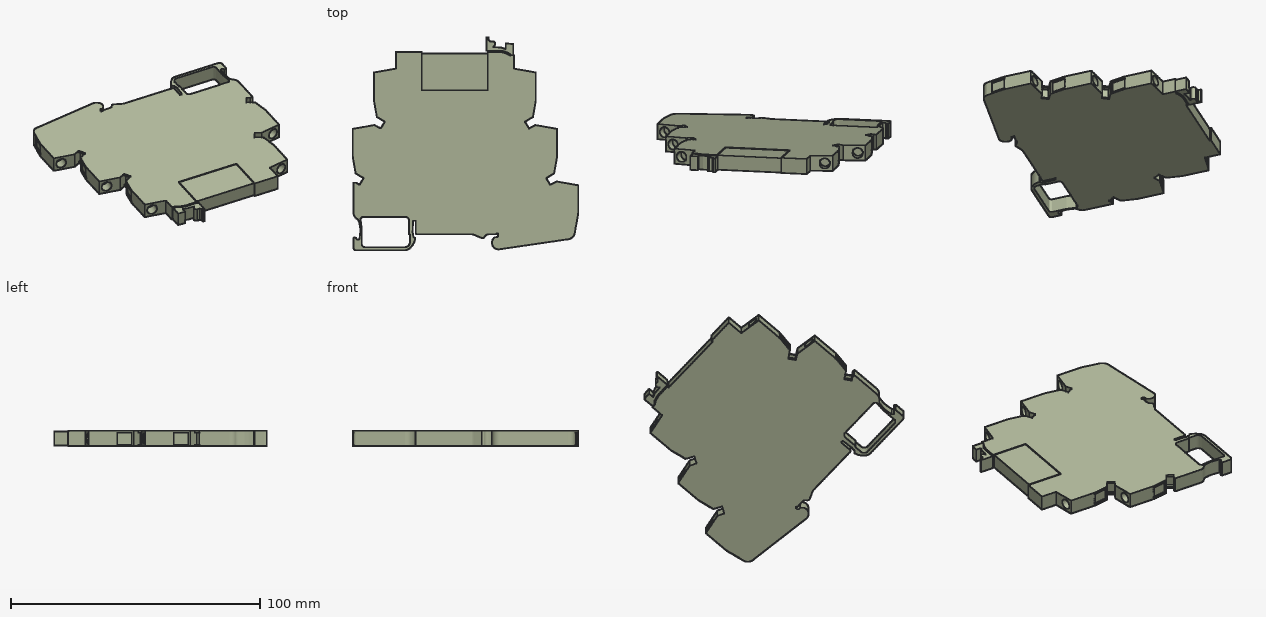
import cadquery as cq
import math


LENGTH = 90.5
THICKNESS = 6.2
SKIN = 0.3

TIER_STEP_X = 8.5
TIER_STEP_Y = 22.6
TIER_CORNER_Y = 26.15
DRAFT = math.tan(math.radians(10))
FLANK_TOP = 11.4
FLANK_END = 17.9
NOTCH_TOP = (4.3, 19.8)
NOTCH_BOTTOM = (2.7, 22.4)
TIER_PEAK = 8.7

RIGHT_SIDES = [LENGTH - TIER_STEP_X * i for i in range(3)]
LEFT_SIDES = [TIER_STEP_X * i for i in range(2)]
MID_X = (LEFT_SIDES[0] + RIGHT_SIDES[1]) / 2

NECK_HALF = 23.7
NECK_TOP = 79.6
SHOULDER_END = 78.2
RELAY_LEFT, RELAY_RIGHT = 27.8, 54.1
RELAY_BOTTOM, RELAY_TOP = 64.2, 79.0
CARRIER_TOP = 85.4

BASE_LEFT = 0.3
BASE_TOP = 27.15
UNDERSIDE = 6.4
CLIP_SLOT_RIGHT = 25.25
CLIP_SLOT_TOP = 11.85

WIRE_HOLE_DIAMETER = 4.2
WIRE_HOLE_INSET = 3.1
WIRE_HOLE_DEPTH = 4.5
POCKET_BOTTOM, POCKET_TOP = 0.6, 5.4
FLANK_POCKET_DEPTH = 0.5
FLANK_POCKET_LENGTH = 5.8
NOTCH_POCKET_DEPTH = 1.4


def tier_corner_y(level):
    return TIER_CORNER_Y + TIER_STEP_Y * level


def tier_point(side, inward, level, inset, drop):
    """Point given by its distance in from the tier side and down from the tier corner."""
    return (side + inward * inset, tier_corner_y(level) - drop)


def peak(side, inward, level):
    return tier_point(side, inward, level, TIER_PEAK, -TIER_PEAK * DRAFT)


def tier_edge(side, inward, level):
    """Tier outline from its outer top corner down to the bottom of the notch below it."""
    flank_run = (FLANK_END - FLANK_TOP) * DRAFT
    drops = [(0, 0), (0, FLANK_TOP), (flank_run, FLANK_END), NOTCH_TOP, NOTCH_BOTTOM]
    return [tier_point(side, inward, level, inset, drop) for inset, drop in drops]


def housing_outline():
    neck_left, neck_right = MID_X - NECK_HALF, MID_X + NECK_HALF
    neck_foot = tier_corner_y(2) + (neck_left - LEFT_SIDES[1]) * DRAFT
    bottom_flank_y = 6.8
    bottom_flank_x = LENGTH - (TIER_CORNER_Y - FLANK_TOP - bottom_flank_y) * DRAFT

    outline = cq.Workplane("XY").moveTo(BASE_LEFT, BASE_TOP).lineTo(1.45, BASE_TOP)
    for point in reversed(tier_edge(LEFT_SIDES[0], 1, 1)):
        outline = outline.lineTo(*point)
    outline = outline.lineTo(*peak(LEFT_SIDES[0], 1, 1))
    for point in reversed(tier_edge(LEFT_SIDES[1], 1, 2)):
        outline = outline.lineTo(*point)
    outline = (
        outline.lineTo(neck_left, neck_foot)
        .lineTo(neck_left, NECK_TOP)
        .lineTo(RELAY_LEFT, NECK_TOP)
        .lineTo(RELAY_LEFT, RELAY_TOP)
        .lineTo(RELAY_RIGHT, RELAY_TOP)
        .lineTo(RELAY_RIGHT, NECK_TOP)
        .lineTo(58.8, NECK_TOP)
        .threePointArc((61.2, 79.2), (63.2, SHOULDER_END))
        .lineTo(neck_right, SHOULDER_END)
        .lineTo(neck_right, neck_foot)
    )
    for level in (2, 1):
        side = RIGHT_SIDES[level]
        for point in tier_edge(side, -1, level):
            outline = outline.lineTo(*point)
        outline = outline.lineTo(*peak(RIGHT_SIDES[level - 1], -1, level - 1))
    return (
        outline.lineTo(LENGTH, TIER_CORNER_Y)
        .lineTo(LENGTH, TIER_CORNER_Y - FLANK_TOP)
        .lineTo(bottom_flank_x, bottom_flank_y)
        .threePointArc((88.05, 5.2), (85.9, 4.3))
        .lineTo(59.3, 0.45)
        .threePointArc((55.8, 2.7), (57.0, 5.3))
        .lineTo(57.6, 5.3)
        .threePointArc((58.1, 5.5), (58.3, 6.0))
        .lineTo(58.3, 6.7)
        .lineTo(57.7, 6.7)
        .lineTo(57.7, UNDERSIDE)
        .lineTo(54.7, UNDERSIDE)
        .threePointArc((53.6, 6.15), (52.85, 5.3))
        .threePointArc((52.4, 5.0), (51.85, 4.9))
        .lineTo(48.8, 6.15)
        .threePointArc((48.3, 6.3), (47.9, UNDERSIDE))
        .lineTo(CLIP_SLOT_RIGHT + 0.7, UNDERSIDE)
        .threePointArc((CLIP_SLOT_RIGHT + 0.2, UNDERSIDE + 0.2), (CLIP_SLOT_RIGHT, UNDERSIDE + 0.7))
        .lineTo(CLIP_SLOT_RIGHT, CLIP_SLOT_TOP)
        .lineTo(24.6, CLIP_SLOT_TOP)
        .threePointArc((24.3, 11.8), (24.25, 11.5))
        .lineTo(24.1, 7.2)
        .lineTo(24.4, 5.3)
        .lineTo(25.2, 4.9)
        .threePointArc((24.5, 2.9), (23.35, 1.3))
        .threePointArc((22.3, 0.4), (21.0, 0))
        .lineTo(BASE_LEFT + 1.1, 0)
        .threePointArc((BASE_LEFT + 0.32, 0.32), (BASE_LEFT, 1.1))
        .lineTo(BASE_LEFT, 4.9)
        .lineTo(0.6, 5.25)
        .lineTo(1.4, 5.1)
        .threePointArc((2.0, 4.3), (2.7, 4.8))
        .lineTo(3.0, 7.4)
        .lineTo(3.0, 9.0)
        .lineTo(2.5, 11.4)
        .threePointArc((2.2, 12.1), (1.6, 12.7))
        .threePointArc((0.6, 13.75), (BASE_LEFT, 15.1))
        .close()
    )


def clip_window():
    """Opening between the foot, the spring web and the clip leg."""
    top, bottom = 13.4, 1.4
    return (
        cq.Workplane("XY")
        .moveTo(4.25, top)
        .lineTo(21.2, top)
        .threePointArc((22.1, 13.0), (22.5, 12.1))
        .lineTo(22.5, UNDERSIDE)
        .lineTo(22.9, UNDERSIDE)
        .lineTo(22.9, 3.35)
        .threePointArc((22.35, 1.9), (20.9, bottom))
        .lineTo(4.8, bottom)
        .threePointArc((4.1, 1.6), (3.7, 2.35))
        .lineTo(3.7, 8.6)
        .lineTo(3.2, 12.5)
        .threePointArc((3.5, 13.1), (4.25, top))
        .close()
        .extrude(THICKNESS)
    )


def marker_carrier():
    """Latch-shaped holder standing on the right end of the shoulder, with a thin gap beneath it."""
    left, right = 53.7, 64.4
    foot = 77.8
    foot_left = 63.3
    underside = NECK_TOP + 0.4
    return (
        cq.Workplane("XY", origin=(0, 0, SKIN))
        .moveTo(left, CARRIER_TOP)
        .lineTo(54.5, CARRIER_TOP)
        .lineTo(54.6, 84.3)
        .lineTo(55.2, 83.8)
        .lineTo(56.3, 83.9)
        .threePointArc((57.2, 82.9), (56.5, 81.7))
        .lineTo(56.5, 81.5)
        .lineTo(59.45, 81.4)
        .lineTo(61.35, 80.8)
        .lineTo(61.35, 83.0)
        .lineTo(62.4, 83.0)
        .lineTo(right, 82.8)
        .lineTo(right, foot)
        .lineTo(foot_left, foot)
        .lineTo(foot_left, 78.5)
        .threePointArc((61.2, 79.6), (58.8, underside))
        .lineTo(left, underside)
        .close()
        .extrude(THICKNESS - 2 * SKIN)
    )


def relay_recess():
    """Shallow step that leaves the relay just below the upper face."""
    return (
        cq.Workplane("XY", origin=(0, 0, THICKNESS - SKIN))
        .moveTo(RELAY_LEFT, RELAY_BOTTOM)
        .lineTo(RELAY_RIGHT, RELAY_BOTTOM)
        .lineTo(RELAY_RIGHT, NECK_TOP)
        .lineTo(RELAY_LEFT, NECK_TOP)
        .close()
        .extrude(SKIN)
    )


def wire_hole(side, inward, level):
    """Round wire entry sunk at right angles into the sloping tier top."""
    x, y = tier_point(side, inward, level, WIRE_HOLE_INSET, -WIRE_HOLE_INSET * DRAFT)
    centre = cq.Vector(x, y, THICKNESS / 2)
    drill = cq.Vector(inward * DRAFT, -1, 0).normalized()
    start_clearance = 0.45
    return cq.Workplane(cq.Solid.makeCylinder(
        WIRE_HOLE_DIAMETER / 2, WIRE_HOLE_DEPTH + start_clearance, centre - drill * start_clearance, drill
    ))


def wall_pocket(start, end, inward, depth):
    """Rectangular pocket sunk at right angles into the wall from start down to end."""
    run_x, run_y = end[0] - start[0], end[1] - start[1]
    length = math.hypot(run_x, run_y)
    sink_x = -run_y / length * depth * inward
    sink_y = run_x / length * depth * inward
    return (
        cq.Workplane("XY", origin=(0, 0, POCKET_BOTTOM))
        .polyline([
            start,
            end,
            (end[0] + sink_x, end[1] + sink_y),
            (start[0] + sink_x, start[1] + sink_y),
        ])
        .close()
        .extrude(POCKET_TOP - POCKET_BOTTOM)
    )


def flank_pocket(side, inward, level):
    start = tier_point(side, inward, level, 0, FLANK_TOP)
    end = (start[0] + inward * FLANK_POCKET_LENGTH * DRAFT, start[1] - FLANK_POCKET_LENGTH)
    return wall_pocket(start, end, inward, FLANK_POCKET_DEPTH)


def notch_pocket(side, inward, level):
    start = tier_point(side, inward, level, *NOTCH_TOP)
    end = tier_point(side, inward, level, *NOTCH_BOTTOM)
    return wall_pocket(start, end, inward, NOTCH_POCKET_DEPTH)


housing = housing_outline().extrude(THICKNESS)
result = housing.cut(clip_window()).cut(relay_recess()).union(marker_carrier())

tiers = [(side, -1, level) for level, side in enumerate(RIGHT_SIDES)]
tiers += [(side, 1, level) for level, side in enumerate(LEFT_SIDES, start=1)]
for tier in tiers:
    result = result.cut(wire_hole(*tier)).cut(flank_pocket(*tier))
    if tier[2] > 0:
        result = result.cut(notch_pocket(*tier))